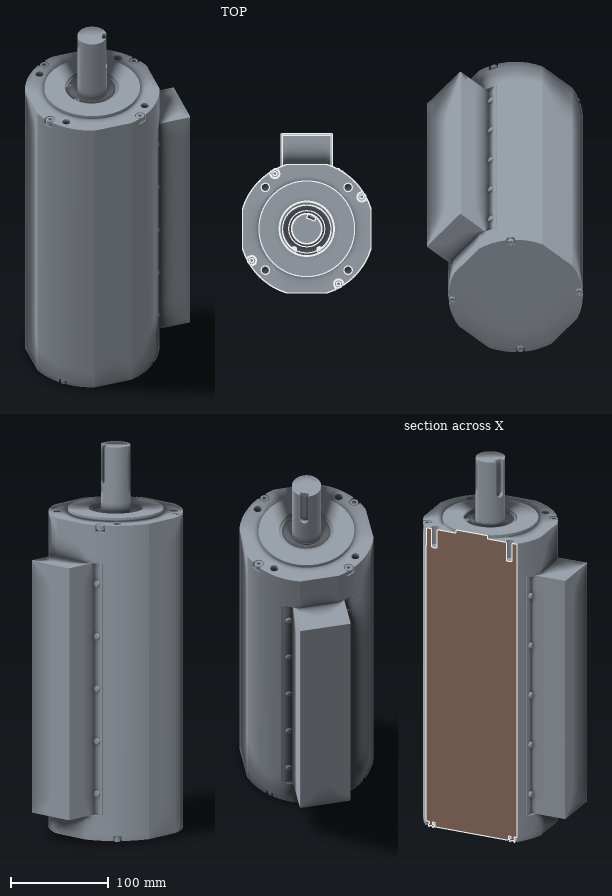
import cadquery as cq
import math

screw_proud = 1.0
housing_bottom = screw_proud
housing_top = 332.5
housing_height = housing_top - housing_bottom
housing_dia = 138.0
flat_width = 132.0

pilot_dia = 98.2
pilot_height = 3.5
pilot_top = housing_top + pilot_height
seat_dia = 55.0
seat_depth = 5.2
seat_chamfer = 1.0
ring_inner_dia = 50.0
ring_offset = 1.0
ring_thickness = 1.0
ring_drop = 2.0
ring_gap_angle = 50.0
ear_angle = 32.0
ear_dia = 5.0
ear_hole_dia = 2.5
ear_radius = 24.5
shield_outer_dia = 49.5
shield_inner_dia = 37.0
shield_step = 0.5
shoulder_dia = 31.5
shoulder_height = 1.2
shaft_dia = 30.0
shaft_top = 402.5

keyway_width = 9.0
keyway_depth = 5.0
keyway_length = 40.2
keyway_turn = 22.5

mount_spacing = 85.0
mount_dia = 8.5
mount_depth = 20.0
drill_angle = 118.0

screws_per_end = 4
screw_circle_radius = 65.2
upper_pocket_width = 10.0
upper_pocket_depth = 7.2
upper_shank_dia = 5.0
upper_head_dia = 8.5
upper_head_height = 5.0
upper_head_drop = 0.5
upper_start_angle = 30.0
upper_socket_width = 4.0
upper_socket_depth = 2.0
lower_pocket_width = 8.5
lower_pocket_depth = 5.0
lower_head_dia = 7.0
lower_head_height = 4.0
lower_shank_dia = 4.0
lower_start_angle = 45.0
lower_socket_width = 3.0
lower_socket_depth = 1.5

box_outer_y = 97.5
box_width = 53.0
box_bottom = 27.5
box_height = 265.0
box_edge_radius = 1.2
box_wall = 1.5
box_end_recess = 0.5
plate_width = 74.0
plate_thickness = 1.5
plate_outer_y = 59.0
plate_inner_y = plate_outer_y - plate_thickness
box_screw_count = 5
box_screw_pitch = 55.0
box_screw_x = 30.5
box_screw_dia = 7.0
box_screw_height = 2.5
box_screw_round = 1.2


def disc(diameter, bottom, height, x=0.0, y=0.0):
    """Upright cylinder standing on the level `bottom`."""
    return cq.Workplane("XY", origin=(x, y, bottom)).circle(diameter / 2).extrude(height)


def block(width, y_start, y_end, bottom, height):
    """Box centred on X, reaching from y_start to y_end."""
    middle = (y_start + y_end) / 2
    base = cq.Workplane("XY", origin=(0, middle, bottom))
    return base.rect(width, y_end - y_start).extrude(height)


def circle_angles(start_angle):
    """Angles in degrees of the evenly spaced screws at one end."""
    return [start_angle + 360 * i / screws_per_end for i in range(screws_per_end)]


def circle_place(angle):
    """Place on the housing screw circle at an angle in degrees."""
    turn = math.radians(angle)
    return screw_circle_radius * math.cos(turn), screw_circle_radius * math.sin(turn)


def open_pocket(width, angle, bottom, height):
    """Round screw pocket that runs out through the housing wall."""
    round_end = disc(width, bottom, height, x=screw_circle_radius)
    run_out = cq.Workplane("XY", origin=(screw_circle_radius + width / 2, 0, bottom))
    pocket = round_end.union(run_out.rect(width, width).extrude(height))
    return pocket.rotate((0, 0, 0), (0, 0, 1), angle)


def make_housing():
    round_body = disc(housing_dia, housing_bottom, housing_height)
    flats = block(flat_width, -flat_width / 2, flat_width / 2, housing_bottom, housing_height)
    return round_body.intersect(flats).union(disc(pilot_dia, housing_top, pilot_height))


def drill_tip_height(diameter):
    return diameter / 2 / math.tan(math.radians(drill_angle / 2))


def cut_mount_holes(body):
    tip_height = drill_tip_height(mount_dia)
    drill = (
        cq.Workplane("XZ")
        .moveTo(0, housing_top)
        .lineTo(mount_dia / 2, housing_top)
        .lineTo(mount_dia / 2, housing_top - mount_depth)
        .lineTo(0, housing_top - mount_depth - tip_height)
        .close()
        .revolve(360, (0, 0, 0), (0, 1, 0))
    )
    offset = mount_spacing / 2
    for x in (-offset, offset):
        for y in (-offset, offset):
            body = body.cut(drill.translate((x, y, 0)))
    return body


def hex_socket(socket_width, socket_depth, x, y, bottom):
    base = cq.Workplane("XY", origin=(x, y, bottom))
    return base.polygon(6, socket_width, circumscribed=True).extrude(socket_depth)


def socket_tip(socket_width, x, y, top):
    """Conical drill tip below a hexagon socket."""
    apex = (0, top - drill_tip_height(socket_width))
    profile = cq.Workplane("XZ").polyline([(0, top), (socket_width / 2, top), apex]).close()
    return profile.revolve(360, (0, 0, 0), (0, 1, 0)).translate((x, y, 0))


def add_upper_screws(body):
    floor = housing_top - upper_pocket_depth
    head_top = housing_top - upper_head_drop
    head_bottom = head_top - upper_head_height
    socket_floor = head_top - upper_socket_depth
    for angle in circle_angles(upper_start_angle):
        x, y = circle_place(angle)
        body = body.cut(open_pocket(upper_pocket_width, angle, floor, upper_pocket_depth))
        body = body.union(disc(upper_shank_dia, floor, head_bottom - floor, x, y))
        body = body.union(disc(upper_head_dia, head_bottom, upper_head_height, x, y))
        body = body.cut(hex_socket(upper_socket_width, upper_socket_depth, x, y, socket_floor))
        body = body.cut(socket_tip(upper_socket_width, x, y, socket_floor))
    return body


def add_lower_screws(body):
    for angle in circle_angles(lower_start_angle):
        x, y = circle_place(angle)
        body = body.cut(open_pocket(lower_pocket_width, angle, housing_bottom, lower_pocket_depth))
        body = body.union(disc(lower_shank_dia, 0, housing_bottom + lower_pocket_depth, x, y))
        body = body.union(disc(lower_head_dia, 0, lower_head_height, x, y))
        body = body.cut(hex_socket(lower_socket_width, lower_socket_depth, x, y, 0))
    return body


def make_retaining_ring(bottom):
    """Open ring with two drilled ears beside the gap at -Y."""
    ring = disc(seat_dia, bottom, ring_thickness)
    ring = ring.cut(disc(ring_inner_dia, bottom, ring_thickness, y=-ring_offset))
    reach = seat_dia
    half_gap = reach * math.tan(math.radians(ring_gap_angle / 2))
    gap = (
        cq.Workplane("XY", origin=(0, 0, bottom))
        .polyline([(0, 0), (-half_gap, -reach), (half_gap, -reach)])
        .close()
        .extrude(ring_thickness)
    )
    ring = ring.cut(gap)
    for side in (-1, 1):
        x = side * ear_radius * math.sin(math.radians(ear_angle))
        y = -ear_radius * math.cos(math.radians(ear_angle))
        ring = ring.union(disc(ear_dia, bottom, ring_thickness, x, y))
        ring = ring.cut(disc(ear_hole_dia, bottom, ring_thickness, x, y))
    return ring


def add_shaft(body):
    floor = pilot_top - seat_depth
    seat = disc(seat_dia, floor, seat_depth)
    rim_base = cq.Workplane("XY", origin=(0, 0, pilot_top - seat_chamfer)).circle(seat_dia / 2)
    rim = rim_base.workplane(offset=seat_chamfer).circle(seat_dia / 2 + seat_chamfer).loft()
    body = body.cut(seat)
    body = body.cut(rim)
    body = body.union(make_retaining_ring(pilot_top - ring_drop - ring_thickness))
    shield_floor = floor - shield_step
    shield = disc(shield_outer_dia, shield_floor, shield_step)
    shield = shield.cut(disc(shield_inner_dia, shield_floor, shield_step))
    body = body.cut(shield)
    body = body.union(disc(shoulder_dia, floor, shoulder_height))
    return body.union(disc(shaft_dia, floor, shaft_top - floor))


def cut_keyway(body):
    """Slot open at the shaft end, with a half-round inner end."""
    floor_y = shaft_dia / 2 - keyway_depth
    end_z = shaft_top - keyway_length + keyway_width / 2
    slot = block(keyway_width, floor_y, shaft_dia, end_z, shaft_top - end_z)
    round_end = (
        cq.Workplane("XZ", origin=(0, floor_y, end_z))
        .circle(keyway_width / 2)
        .extrude(-(shaft_dia - floor_y))
    )
    return body.cut(slot.union(round_end).rotate((0, 0, 0), (0, 0, 1), -keyway_turn))


def add_connection_box(body):
    body = body.cut(block(housing_dia, plate_inner_y, housing_dia, box_bottom, box_height))
    body = body.union(block(plate_width, plate_inner_y, plate_outer_y, box_bottom, box_height))

    box = block(box_width, plate_inner_y, box_outer_y, box_bottom, box_height)
    box = box.edges("|Z and >Y").fillet(box_edge_radius)
    cap_width = box_width - 2 * box_wall
    cap_outer_y = box_outer_y - box_wall
    for bottom in (box_bottom, box_bottom + box_height - box_end_recess):
        box = box.cut(block(cap_width, plate_outer_y, cap_outer_y, bottom, box_end_recess))
    body = body.union(box)

    first_z = box_bottom + box_height / 2 - box_screw_pitch * (box_screw_count - 1) / 2
    for x in (-box_screw_x, box_screw_x):
        for i in range(box_screw_count):
            seat = cq.Workplane("XZ", origin=(x, plate_outer_y, first_z + i * box_screw_pitch))
            head = seat.circle(box_screw_dia / 2).extrude(-box_screw_height)
            body = body.union(head.faces(">Y").edges().fillet(box_screw_round))
    return body


result = make_housing()
result = add_connection_box(result)
result = cut_mount_holes(result)
result = add_upper_screws(result)
result = add_lower_screws(result)
result = add_shaft(result)
result = cut_keyway(result)